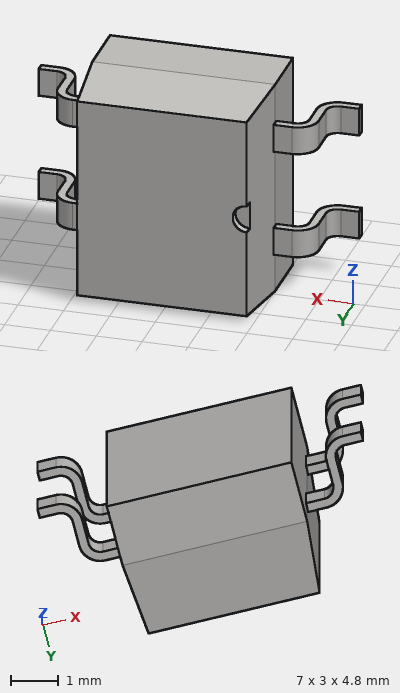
import cadquery as cq
import math

LENGTH = 7.0
BODY_LENGTH = 4.0
BODY_DEPTH = 3.0
BODY_HEIGHT = 4.8

PARTING_DEPTH = 1.35
DRAFT_ANGLE = 5.1

NOTCH_RADIUS = 0.3
NOTCH_DEPTH = 0.21

LEAD_THICKNESS = 0.2
LEAD_WIDTH = 0.62
LEAD_PITCH = 2.395
LEAD_TOP = 1.455
LEAD_REACH_IN = 0.14
FOOT_TO_SHANK = 0.65
BEND_INNER_RADIUS = 0.25
BEND_OUTER_RADIUS = BEND_INNER_RADIUS + LEAD_THICKNESS

DRAFT_INSET = (BODY_DEPTH - PARTING_DEPTH) * math.tan(math.radians(DRAFT_ANGLE))


def along_y(y_start):
    """Workplane facing +Y at the given depth; its local y axis points along -Z."""
    return cq.Workplane("XZ", origin=(0, y_start, 0)).transformed(rotate=(180, 0, 0))


def make_body():
    """Straight front block plus the drafted back block; the -Y face lies at Y = 0."""
    front = along_y(0).rect(BODY_LENGTH, BODY_HEIGHT).extrude(PARTING_DEPTH)
    back = (
        along_y(PARTING_DEPTH)
        .rect(BODY_LENGTH, BODY_HEIGHT)
        .extrude(BODY_DEPTH - PARTING_DEPTH, taper=DRAFT_ANGLE)
    )
    return front.union(back)


def make_notch():
    """Cylinder that cuts the half-round marker notch into the back face."""
    back_edge_x = -BODY_LENGTH / 2 + DRAFT_INSET
    return (
        along_y(BODY_DEPTH - NOTCH_DEPTH)
        .center(back_edge_x, 0)
        .circle(NOTCH_RADIUS)
        .extrude(NOTCH_DEPTH)
    )


def make_left_lead(z_center):
    """Z-shaped lead at the -X end: foot, shank and arm joined by two round bends."""
    tip_x = -LENGTH / 2
    shank_outer_x = tip_x + FOOT_TO_SHANK
    shank_inner_x = shank_outer_x + LEAD_THICKNESS
    arm_end_x = -BODY_LENGTH / 2 + LEAD_REACH_IN
    arm_bottom = LEAD_TOP - LEAD_THICKNESS
    profile = (
        cq.Workplane("XY", origin=(0, 0, z_center - LEAD_WIDTH / 2))
        .moveTo(tip_x, 0)
        .lineTo(shank_inner_x - BEND_OUTER_RADIUS, 0)
        .radiusArc((shank_inner_x, BEND_OUTER_RADIUS), -BEND_OUTER_RADIUS)
        .lineTo(shank_inner_x, arm_bottom - BEND_INNER_RADIUS)
        .radiusArc((shank_inner_x + BEND_INNER_RADIUS, arm_bottom), BEND_INNER_RADIUS)
        .lineTo(arm_end_x, arm_bottom)
        .lineTo(arm_end_x, LEAD_TOP)
        .lineTo(shank_outer_x + BEND_OUTER_RADIUS, LEAD_TOP)
        .radiusArc((shank_outer_x, LEAD_TOP - BEND_OUTER_RADIUS), -BEND_OUTER_RADIUS)
        .lineTo(shank_outer_x, LEAD_THICKNESS + BEND_INNER_RADIUS)
        .radiusArc((shank_outer_x - BEND_INNER_RADIUS, LEAD_THICKNESS), BEND_INNER_RADIUS)
        .lineTo(tip_x, LEAD_THICKNESS)
        .close()
    )
    return profile.extrude(LEAD_WIDTH)


result = make_body().cut(make_notch())
for z_center in (-LEAD_PITCH / 2, LEAD_PITCH / 2):
    left_lead = make_left_lead(z_center)
    result = result.union(left_lead).union(left_lead.mirror("YZ"))